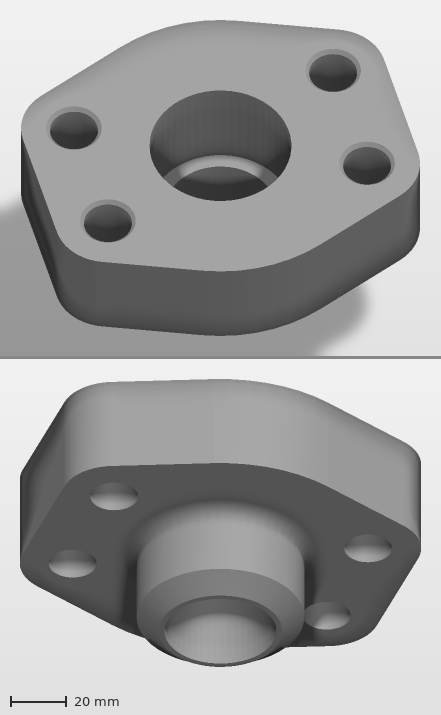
import cadquery as cq
import math

flange_width = 116.1
flange_length = 135.0
flange_thickness = 37.0
corner_radius = 19.0

bolt_x = 22.3
bolt_y = flange_length / 2 - corner_radius
bolt_diameter = 17.3
bolt_chamfer = 1.4
sink_angle = 90

total_height = 70.0
neck_diameter = 60.3
neck_tip_diameter = 44.5
neck_bevel_height = 6.2
neck_fillet = 5.0

bore_diameter = 40.4
socket_diameter = 51.0
socket_depth = flange_thickness

flange_bottom = total_height - flange_thickness
side_radius = flange_width / 2


def make_flange():
    """Rounded plate whose slanted edges are tangent to the side and corner arcs."""
    center_distance = math.hypot(bolt_x, bolt_y)
    center_angle = math.atan2(bolt_y, bolt_x)
    normal_angle = center_angle - math.acos((side_radius - corner_radius) / center_distance)
    mid_angle = (normal_angle + math.pi / 2) / 2

    side_x = side_radius * math.cos(normal_angle)
    side_y = side_radius * math.sin(normal_angle)

    def corner_point(angle, sign_x, sign_y):
        x = bolt_x + corner_radius * math.cos(angle)
        y = bolt_y + corner_radius * math.sin(angle)
        return (sign_x * x, sign_y * y)

    outline = cq.Workplane("XY").workplane(offset=flange_bottom).moveTo(side_x, -side_y)
    for sign in (1, -1):
        outline = (
            outline
            .threePointArc((sign * side_radius, 0), (sign * side_x, sign * side_y))
            .lineTo(*corner_point(normal_angle, sign, sign))
            .threePointArc(corner_point(mid_angle, sign, sign), corner_point(math.pi / 2, sign, sign))
            .lineTo(*corner_point(math.pi / 2, -sign, sign))
            .threePointArc(corner_point(mid_angle, -sign, sign), corner_point(normal_angle, -sign, sign))
            .lineTo(-sign * side_x, sign * side_y)
        )
    return outline.close().extrude(flange_thickness)


def make_neck():
    """Revolved neck with a beveled tip and a concave fillet under the flange."""
    neck_radius = neck_diameter / 2
    fillet_gap = neck_fillet * (1 - math.sqrt(0.5))
    return (
        cq.Workplane("XZ")
        .lineTo(neck_tip_diameter / 2, 0)
        .lineTo(neck_radius, neck_bevel_height)
        .lineTo(neck_radius, flange_bottom - neck_fillet)
        .threePointArc(
            (neck_radius + fillet_gap, flange_bottom - fillet_gap),
            (neck_radius + neck_fillet, flange_bottom),
        )
        .lineTo(0, flange_bottom)
        .close()
        .revolve(360, (0, 0), (0, 1))
    )


def cut_bore(body):
    bore = cq.Workplane("XY").circle(bore_diameter / 2).extrude(total_height)
    socket = (
        cq.Workplane("XY")
        .workplane(offset=total_height - socket_depth)
        .circle(socket_diameter / 2)
        .extrude(socket_depth)
    )
    return body.cut(bore).cut(socket)


def cut_bolt_holes(body):
    """Four through holes, chamfered at the top face."""
    return (
        body
        .copyWorkplane(cq.Workplane("XY", origin=(0, 0, total_height)))
        .rect(2 * bolt_x, 2 * bolt_y, forConstruction=True)
        .vertices()
        .cskHole(bolt_diameter, bolt_diameter + 2 * bolt_chamfer, sink_angle)
    )


result = cut_bolt_holes(cut_bore(make_flange().union(make_neck())))